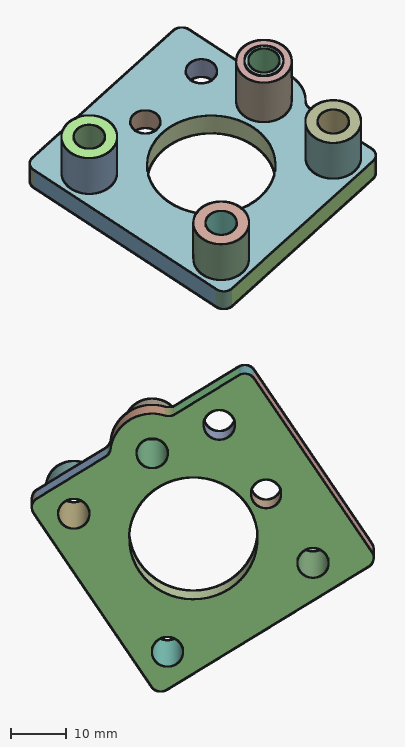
import cadquery as cq
import math

plate_length = 47.0
plate_width = 43.0
plate_thickness = 5.0
plate_center_x = -2.0
corner_radius = 2.0
bore_diameter = 23.0

hole_pitch = 31.0
half_pitch = hole_pitch / 2
mount_hole_diameter = 5.6
side_hole_diameter = 5.4

post_diameter = 10.0
post_height = 10.0
post_centers = [
    (half_pitch, half_pitch),
    (half_pitch, -half_pitch),
    (-half_pitch, -half_pitch),
]
open_hole_center = (-half_pitch, half_pitch)
side_hole_center = (-half_pitch, 0)

tall_post_center = (-2.5, 17.5)
tall_post_height = 11.05
rim_diameter = 7.0
rim_height = 0.2
lobe_radius = 7.5
lobe_blend_radius = 2.0


def cylinder(center, diameter, bottom, height):
    """Upright cylinder standing on the given bottom height."""
    base = cq.Workplane("XY", origin=(center[0], center[1], bottom))
    return base.circle(diameter / 2).extrude(height)


def make_plate():
    """Rounded rectangle with a lobe blended into its +Y edge."""
    plate = (
        cq.Workplane("XY")
        .center(plate_center_x, 0)
        .rect(plate_length, plate_width)
        .extrude(plate_thickness)
        .edges("|Z")
        .fillet(corner_radius)
    )
    plate = plate.union(cylinder(tall_post_center, 2 * lobe_radius, 0, plate_thickness))

    edge_y = plate_width / 2
    half_chord = math.sqrt(lobe_radius**2 - (edge_y - tall_post_center[1]) ** 2)
    for side in (-1, 1):
        corner = (tall_post_center[0] + side * half_chord, edge_y, plate_thickness / 2)
        plate = plate.edges(cq.selectors.NearestToPointSelector(corner)).fillet(lobe_blend_radius)
    return plate


def add_posts(body):
    """Three equal posts and the taller one with its raised rim."""
    for center in post_centers:
        body = body.union(cylinder(center, post_diameter, plate_thickness, post_height))
    body = body.union(cylinder(tall_post_center, post_diameter, plate_thickness, tall_post_height))
    rim_bottom = plate_thickness + tall_post_height
    return body.union(cylinder(tall_post_center, rim_diameter, rim_bottom, rim_height))


def cut_holes(body):
    """Through holes: bore, posts, open mounting hole and side hole."""
    cut_depth = plate_thickness + tall_post_height + rim_height
    body = body.cut(cylinder((0, 0), bore_diameter, 0, cut_depth))
    for center in post_centers + [open_hole_center, tall_post_center]:
        body = body.cut(cylinder(center, mount_hole_diameter, 0, cut_depth))
    return body.cut(cylinder(side_hole_center, side_hole_diameter, 0, cut_depth))


result = cut_holes(add_posts(make_plate()))